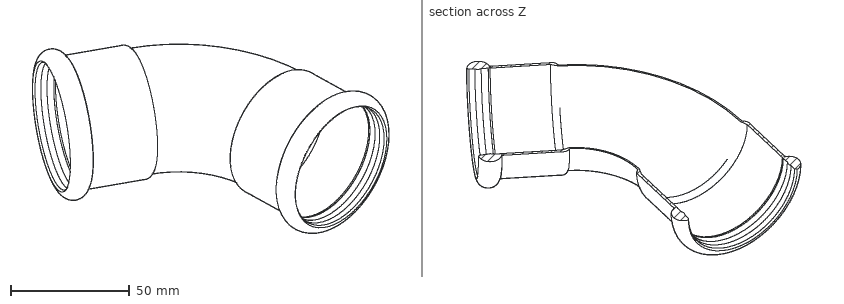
import cadquery as cq
import math

bend_angle = 60.0
bend_radius = 58.6
pipe_outer_radius = 27.0
pipe_wall = 1.0
pipe_bore_radius = pipe_outer_radius - pipe_wall

socket_length = 38.8
socket_outer_radius = 57.5 / 2
socket_bore_radius = 54.5 / 2
shoulder_length = 3.2

bead_outer_radius = 64.8 / 2
mouth_radius = 54.7 / 2
bead_width = 10.0
bead_round = bead_width / 2
bead_center_radius = bead_outer_radius - bead_round

lip_radius = 28.1
lip_depth = 1.0
ring_start = 3.5
ring_width = 2.7
ring_bulge = 0.4
seat_depth = 9.2


def bent_rod(radius):
    """Round bar following the bend, from the +X socket to the lower socket."""
    return (
        cq.Workplane("YZ")
        .center(bend_radius, 0)
        .circle(radius)
        .revolve(bend_angle, (-bend_radius, 0), (-bend_radius, 1))
    )


def turned(profile):
    """Turn a half profile, closed on the X axis, about the X axis."""
    return profile.close().revolve(360, (0, 0), (1, 0))


def socket_body():
    """Solid outside of a socket, running along +X from the end of the bend."""
    bead_start = socket_length - bead_width
    shoulder_rise = socket_outer_radius - pipe_outer_radius
    halfway = math.sqrt(0.5)
    shoulder_middle = (shoulder_length * (1 - halfway), pipe_outer_radius + shoulder_rise * halfway)
    return turned(
        cq.Workplane("XY")
        .lineTo(0, pipe_outer_radius)
        .threePointArc(shoulder_middle, (shoulder_length, socket_outer_radius))
        .lineTo(bead_start, socket_outer_radius)
        .lineTo(bead_start, bead_center_radius)
        .threePointArc((bead_start + bead_round, bead_outer_radius), (socket_length, bead_center_radius))
        .lineTo(socket_length, 0)
    )


def socket_bore():
    """Inside of a socket: shoulder, plain bore, seat, sealing ring and flared lip."""
    return turned(
        cq.Workplane("XY")
        .lineTo(0, pipe_bore_radius)
        .lineTo(shoulder_length, socket_bore_radius)
        .lineTo(socket_length - seat_depth, socket_bore_radius)
        .lineTo(socket_length - seat_depth, mouth_radius)
        .lineTo(socket_length - ring_start - ring_width, mouth_radius)
        .threePointArc(
            (socket_length - ring_start - ring_width / 2, mouth_radius - ring_bulge),
            (socket_length - ring_start, mouth_radius),
        )
        .lineTo(socket_length - lip_depth, mouth_radius)
        .lineTo(socket_length, lip_radius)
        .lineTo(socket_length, 0)
    )


def at_both_ends(socket):
    """Place a socket shape at the +X end and its mirror image at the lower end."""
    upper = socket.translate((0, bend_radius, 0))
    lower = upper.mirror("YZ").rotate((0, 0, 0), (0, 0, 1), bend_angle)
    return upper, lower


upper_body, lower_body = at_both_ends(socket_body())
upper_bore, lower_bore = at_both_ends(socket_bore())

outside = bent_rod(pipe_outer_radius).union(upper_body).union(lower_body)
inside = bent_rod(pipe_bore_radius).union(upper_bore).union(lower_bore)
result = outside.cut(inside)